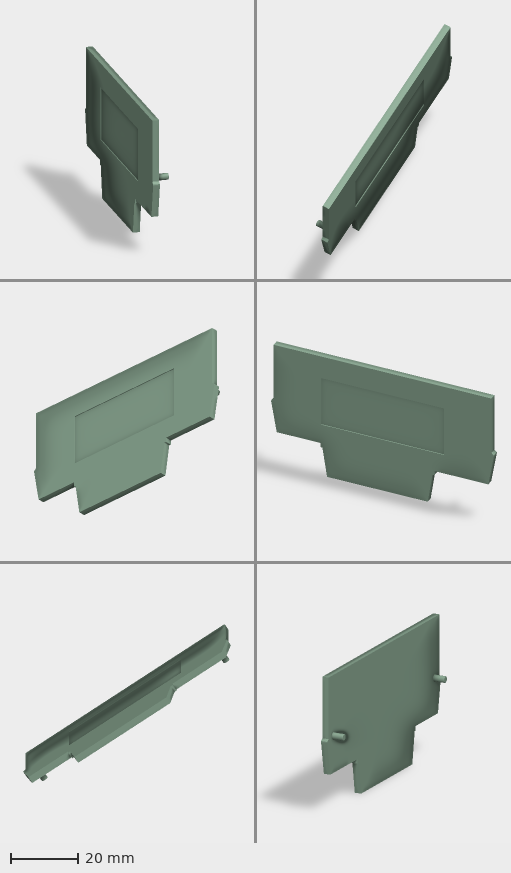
import cadquery as cq
import math

plate_thickness = 2.1
plate_height = 41.8
overall_width = 72.7

shelf_height = 11.35
body_side_bottom = 22.7
ear_top = 22.0
ear_edge = 0.35
foot_step_bottom = 9.9

ear_half_width = overall_width / 2
ear_overhang = 0.8
body_half_width = ear_half_width - ear_overhang
shelf_half_width = 34.5

foot_center_x = -1.7
foot_step_half_width = 18.6
foot_top_half_width = 17.95
foot_bottom_half_width = 16.4

label_width = 40.1
label_height = 16.35
label_center_height = 26.0
label_depth = 0.3

pin_diameter = 2.0
pin_tip_diameter = 1.7
pin_length = 3.6
pin_spacing = 64.9
pin_height = 22.9
pin_fillet = (pin_diameter - pin_tip_diameter) / 2


def extrude_mirrored(right_side, center_x):
    """Plate-thick profile from its right side, mirrored about center_x."""
    left_side = [(-x, z) for x, z in reversed(right_side)]
    outline = cq.Workplane("XZ").center(center_x, 0).polyline(right_side + left_side).close()
    return outline.extrude(-plate_thickness)


def make_plate():
    """Wide body with sloped ears, and a stepped, tapered foot below it."""
    body_right = [
        (shelf_half_width, shelf_height),
        (ear_half_width, ear_top - ear_edge),
        (ear_half_width, ear_top),
        (body_half_width, body_side_bottom),
        (body_half_width, plate_height),
    ]
    foot_right = [
        (foot_bottom_half_width, 0),
        (foot_top_half_width, foot_step_bottom),
        (foot_step_half_width, foot_step_bottom),
        (foot_step_half_width, shelf_height),
    ]
    body = extrude_mirrored(body_right, 0)
    foot = extrude_mirrored(foot_right, foot_center_x)
    return body.union(foot)


def make_label_recess():
    """Shallow rectangular block that is removed from the front face."""
    return (
        cq.Workplane("XZ")
        .center(0, label_center_height)
        .rect(label_width, label_height)
        .extrude(-label_depth)
    )


def make_pin(center_x):
    """Rear pin with a rounded tip and a concave fillet where it meets the plate."""
    radius = pin_diameter / 2
    tip_radius = pin_tip_diameter / 2
    base_radius = radius + pin_fillet
    arc_inset = pin_fillet * (1 - math.sqrt(0.5))
    profile = (
        cq.Workplane("XY", origin=(center_x, plate_thickness, pin_height))
        .lineTo(base_radius, 0)
        .threePointArc((radius + arc_inset, arc_inset), (radius, pin_fillet))
        .lineTo(radius, pin_length - pin_fillet)
        .threePointArc((radius - arc_inset, pin_length - arc_inset), (tip_radius, pin_length))
        .lineTo(0, pin_length)
        .close()
    )
    return profile.revolve(360, (0, 0, 0), (0, 1, 0))


result = make_plate().cut(make_label_recess())
for pin_x in (-pin_spacing / 2, pin_spacing / 2):
    result = result.union(make_pin(pin_x))